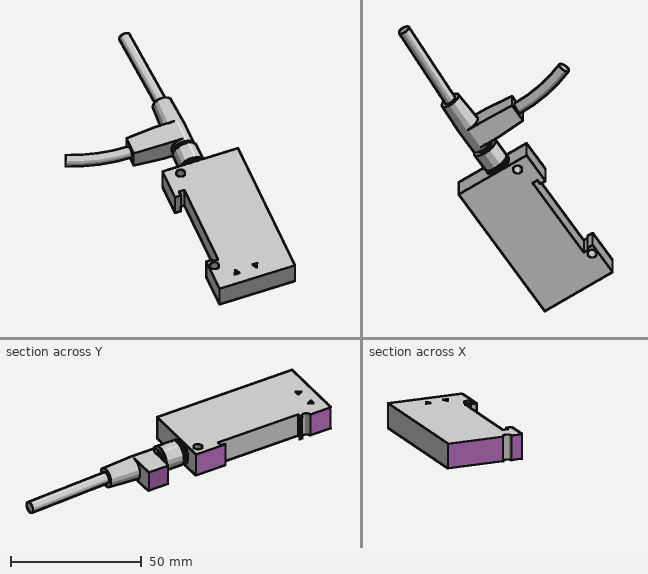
import cadquery as cq
import math


housing_length = 60.3
housing_width = 31.0
housing_height = 10.0
housing_front = -12.9
hole_diameter = 3.4
hole_positions = ((3.3, 6.2), (49.3, 2.2))

slot_mouth_start = 13.3
slot_mouth_end = 46.3
slot_inner_start = 11.3
slot_inner_end = 47.1
slot_depth = 4.6
slot_lip = 2.4

arrow_size = 2.0
arrow_start = 54.0
arrow_offset = 4.05
arrow_depth = 0.1

flange_diameter = housing_height
flange_length = 0.9
socket_diameter = 6.4
socket_length = 1.0

nut_diameter = 10.0
nut_length = 7.6
neck_diameter = 6.0
neck_length = 1.3
barrel_diameter = 9.0
barrel_length = 10.4
sleeve_length = 12.5
draft_angle = 3.0
branch_size = barrel_diameter
branch_straight_end = -8.0
branch_taper_length = 11.7

cable_diameter = 4.5
straight_cable_end = -68.8
straight_cable_tilt = 2.9
bent_cable_angle = 23.0
bent_cable_radius = 62.7

socket_end = -(flange_length + socket_length)
nut_end = socket_end - nut_length
neck_end = nut_end - neck_length
barrel_end = neck_end - barrel_length
sleeve_end = barrel_end - sleeve_length
branch_center = barrel_end + branch_size / 2
branch_end = branch_straight_end - branch_taper_length


def rod(start, length, diameter):
    """Cylinder on the plug axis, running from X = start toward -X."""
    return cq.Workplane("YZ", origin=(start, 0, 0)).circle(diameter / 2).extrude(-length)


def block(x_start, x_end, y_start, y_end):
    """Block through the full housing height."""
    return cq.Workplane("XY").box(
        x_end - x_start, y_end - y_start, housing_height, centered=(False, False, True)
    ).translate((x_start, y_start, 0))


def arrow(base, direction):
    """Triangular recess in the top face, pointing along +X or -X."""
    x, y = base
    half = arrow_size / 2
    outline = [(x, y - half), (x, y + half), (x + direction * arrow_size, y)]
    top = cq.Workplane("XY", origin=(0, 0, housing_height / 2))
    return top.polyline(outline).close().extrude(-arrow_depth)


def make_housing():
    body = block(0, housing_length, housing_front, housing_front + housing_width)
    slot_lip_top = housing_front + slot_lip
    body = body.cut(block(slot_mouth_start, slot_mouth_end, housing_front, slot_lip_top))
    body = body.cut(block(slot_inner_start, slot_inner_end, slot_lip_top, housing_front + slot_depth))
    for x, distance in hole_positions:
        hole = cq.Workplane("XY").center(x, housing_front + distance).circle(hole_diameter / 2)
        body = body.cut(hole.extrude(housing_height / 2, both=True))
    body = body.cut(arrow((arrow_start, arrow_offset), 1))
    body = body.cut(arrow((arrow_start + arrow_size, -arrow_offset), -1))
    body = body.union(rod(0, flange_length, flange_diameter))
    return body.union(rod(-flange_length, socket_length, socket_diameter))


def make_plug():
    nut = rod(socket_end, nut_length, nut_diameter)
    neck = rod(nut_end, neck_length, neck_diameter)
    barrel = rod(neck_end, barrel_length, barrel_diameter)
    sleeve = (
        cq.Workplane("YZ", origin=(barrel_end, 0, 0))
        .circle(barrel_diameter / 2)
        .extrude(-sleeve_length, taper=draft_angle)
    )
    branch = (
        cq.Workplane("XZ", origin=(branch_center, 0, 0))
        .rect(branch_size, branch_size)
        .extrude(-branch_straight_end)
    )
    branch_tip = (
        cq.Workplane("XZ", origin=(branch_center, branch_straight_end, 0))
        .rect(branch_size, branch_size)
        .extrude(branch_taper_length, taper=draft_angle)
    )
    return nut.union(neck).union(barrel).union(sleeve).union(branch).union(branch_tip)


def make_straight_cable(plug):
    """Tilted straight cable, trimmed by the end face of the sleeve."""
    tilt = math.radians(straight_cable_tilt)
    start = cq.Vector(sleeve_end, 0, 0)
    direction = cq.Vector(-math.cos(tilt), -math.sin(tilt), 0)
    length = (sleeve_end - straight_cable_end) / math.cos(tilt)
    overlap = cable_diameter / 2
    cable = cq.Solid.makeCylinder(
        cable_diameter / 2, length + overlap, start - direction * overlap, direction
    )
    return cq.Workplane(obj=cable).cut(plug)


def make_bent_cable():
    """Cable leaving the branch squarely and bending toward -X."""
    start = cq.Workplane("XZ", origin=(branch_center, branch_end, 0)).circle(cable_diameter / 2)
    return start.revolve(
        bent_cable_angle,
        (-bent_cable_radius, 0, 0),
        (-bent_cable_radius, -1, 0),
    )


housing = make_housing()
plug = make_plug()
straight_cable = make_straight_cable(plug)
bent_cable = make_bent_cable()

result = cq.Compound.makeCompound(
    [body.solids().val() for body in (housing, plug, straight_cable, bent_cable)]
)